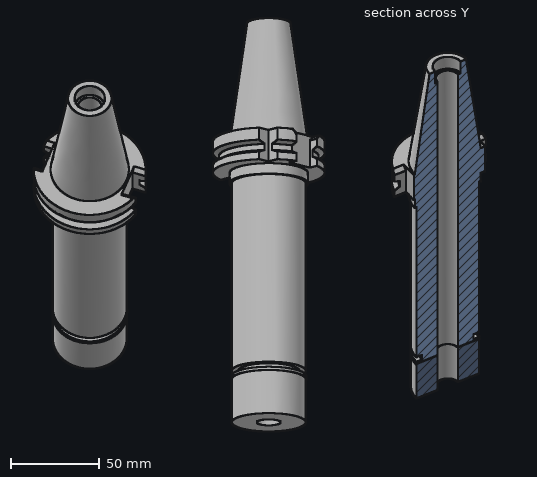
import cadquery as cq

total_height = 233.5
taper_base_z = 164.8
flange_top_z = 164.3
flange_bottom_z = 145.9
collar_bottom_z = 139.8
shank_bottom_z = 30.0
ring_top_z = 27.0
ring_bottom_z = 25.2

taper_tip_radius = 12.4
taper_base_radius = 22.2
flange_radius = 31.7
shank_radius = 21
neck_radius = 17.3
ring_radius = 21.2
nut_radius = shank_radius

bore_radius = 6.8
counterbore_radius = 17.0 / 2
counterbore_depth = 8.6

groove_floor_radius = 28.2
groove_middle_z = 153.8
groove_floor_width = 3.5
groove_mouth_width = 7

slot_width = 16.0
slot_floor_left = 25.0
slot_floor_right = 22.9
slot_chamfer = 2.5
notch_offset = 18.5


def turned(profile):
    """Revolve (radius, z) points around the Z axis."""
    return cq.Workplane("XZ").polyline(profile).close().revolve(360, (0, 0, 0), (0, 1, 0))


def tube(outer_radius, inner_radius, bottom_z, top_z):
    return (
        cq.Workplane("XY", origin=(0, 0, bottom_z))
        .circle(outer_radius)
        .circle(inner_radius)
        .extrude(top_z - bottom_z)
    )


def holder_blank():
    """Taper, flange, collar, shank and neck in one turned piece; the neck end rests on the nut."""
    counterbore_z = total_height - counterbore_depth
    return turned([
        (bore_radius, ring_bottom_z),
        (neck_radius, ring_bottom_z),
        (neck_radius, shank_bottom_z),
        (shank_radius, shank_bottom_z),
        (shank_radius, collar_bottom_z),
        (taper_base_radius, collar_bottom_z),
        (taper_base_radius, flange_bottom_z),
        (flange_radius, flange_bottom_z),
        (flange_radius, groove_middle_z - groove_mouth_width / 2),
        (groove_floor_radius, groove_middle_z - groove_floor_width / 2),
        (groove_floor_radius, groove_middle_z + groove_floor_width / 2),
        (flange_radius, groove_middle_z + groove_mouth_width / 2),
        (flange_radius, flange_top_z),
        (taper_base_radius, flange_top_z),
        (taper_base_radius, taper_base_z),
        (taper_tip_radius, total_height),
        (counterbore_radius, total_height),
        (counterbore_radius, counterbore_z),
        (bore_radius, counterbore_z),
    ])


def drive_slot(floor_distance, side):
    """Cutter for one drive slot with chamfered upper edges; side is -1 or +1 along X."""
    half_width = slot_width / 2
    return (
        cq.Workplane("YZ", origin=(side * floor_distance, 0, 0))
        .polyline([
            (-half_width, flange_bottom_z),
            (half_width, flange_bottom_z),
            (half_width, flange_top_z - slot_chamfer),
            (half_width + slot_chamfer, flange_top_z),
            (-half_width - slot_chamfer, flange_top_z),
            (-half_width, flange_top_z - slot_chamfer),
        ])
        .close()
        .extrude(side * flange_radius)
    )


def corner_notch():
    """Cutter for the square notch in the (-X, +Y) corner of the flange."""
    return (
        cq.Workplane("XY", origin=(-notch_offset, notch_offset, flange_bottom_z))
        .rect(-flange_radius, flange_radius, centered=False)
        .extrude(flange_top_z - flange_bottom_z)
    )


holder = (
    holder_blank()
    .cut(drive_slot(slot_floor_left, -1))
    .cut(drive_slot(slot_floor_right, 1))
    .cut(corner_notch())
)
ring = tube(ring_radius, neck_radius, ring_bottom_z, ring_top_z)
nut = tube(nut_radius, bore_radius, 0, ring_bottom_z)

result = cq.Compound.makeCompound([holder.val(), ring.val(), nut.val()])